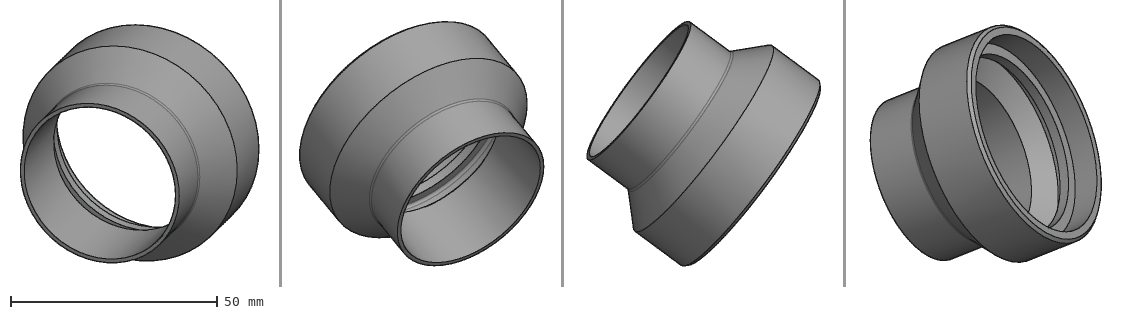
import cadquery as cq
import math

TOTAL_LENGTH = 34.65

BODY_RADIUS = 28.0
SPIGOT_RADIUS = 20.8
BORE_RADIUS = 19.75
SOCKET_RADIUS = 25.3
RIB_RADIUS = 22.5

SHOULDER_Y = 19.7
BORE_END_Y = 19.15
INNER_CONE_LENGTH = 4.05
RIB_START_Y = 25.7
RIB_THICKNESS = 2.5

RIM_CHAMFER = 0.8
NECK_FILLET = 0.85
RIB_FILLET = 0.8

OUTER_CONE_ANGLE = math.radians(45)

INNER_CONE_END_Y = BORE_END_Y + INNER_CONE_LENGTH
RIB_END_Y = RIB_START_Y + RIB_THICKNESS
NECK_CORNER_Y = SHOULDER_Y - (BODY_RADIUS - SPIGOT_RADIUS) / math.tan(OUTER_CONE_ANGLE)
NECK_FILLET_START_Y = NECK_CORNER_Y - NECK_FILLET * math.tan(OUTER_CONE_ANGLE / 2)


def neck_point(turn):
    """Point (radius, Y) on the neck fillet where it has turned away from the spigot wall."""
    radius = SPIGOT_RADIUS + NECK_FILLET * (1 - math.cos(turn))
    y = NECK_FILLET_START_Y + NECK_FILLET * math.sin(turn)
    return radius, y


def rib_fillet_middle():
    """Midpoint (radius, Y) of the quarter arc between the wide bore and the rib face."""
    inset = RIB_FILLET * (1 - math.sqrt(0.5))
    return SOCKET_RADIUS - inset, RIB_START_Y - inset


half_section = (
    cq.Workplane("XY")
    .moveTo(BORE_RADIUS, 0)
    .lineTo(SPIGOT_RADIUS, 0)
    .lineTo(*neck_point(0))
    .threePointArc(neck_point(OUTER_CONE_ANGLE / 2), neck_point(OUTER_CONE_ANGLE))
    .lineTo(BODY_RADIUS, SHOULDER_Y)
    .lineTo(BODY_RADIUS, TOTAL_LENGTH - RIM_CHAMFER)
    .lineTo(BODY_RADIUS - RIM_CHAMFER, TOTAL_LENGTH)
    .lineTo(SOCKET_RADIUS, TOTAL_LENGTH)
    .lineTo(SOCKET_RADIUS, RIB_END_Y)
    .lineTo(RIB_RADIUS, RIB_END_Y)
    .lineTo(RIB_RADIUS, RIB_START_Y)
    .lineTo(SOCKET_RADIUS - RIB_FILLET, RIB_START_Y)
    .threePointArc(rib_fillet_middle(), (SOCKET_RADIUS, RIB_START_Y - RIB_FILLET))
    .lineTo(SOCKET_RADIUS, INNER_CONE_END_Y)
    .lineTo(BORE_RADIUS, BORE_END_Y)
    .close()
)

result = half_section.revolve(360, (0, 0, 0), (0, 1, 0))